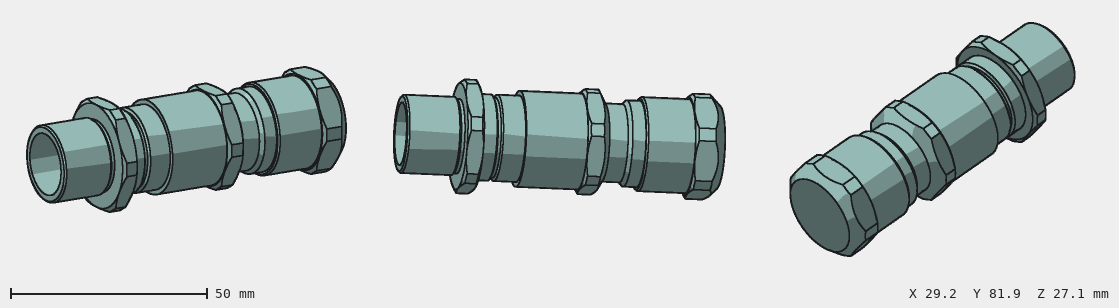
import cadquery as cq
import math

LENGTH = 81.9

THREAD_D = 20.0
THREAD_TIP_D = 19.1
UNDERCUT_D = 19.0
BODY_D = 22.0
GROOVE_D = 20.4
SLEEVE_D = 24.5
CAP_SKIRT_D = 24.0
CAP_SKIRT_TIP_D = 23.2
BORE_D = 16.0

THREAD_END = 13.4
LOCKNUT_START = 14.8
LOCKNUT_END = 19.1
GROOVE_START = 23.3
GROOVE_END = 24.1
SLEEVE_START = 30.2
MID_HEX_START = 46.1
MID_HEX_END = 52.2
NECK_END = 56.9
SKIRT_START = 61.35
CAP_HEX_START = 73.95

EDGE_CHAMFER = 0.5
GROOVE_TAPER = 0.4
NECK_TAPER = (BODY_D - THREAD_D) / 2

LOCKNUT_FLATS = 27.1
LOCKNUT_CORNERS = 29.2
NUT_FLATS = 25.1
NUT_CORNERS = 27.0
NUT_BASE_D = 24.9
CAP_FACE_D = 21.3

SHALLOW_ANGLE = 30
CAP_ANGLE = 45


def revolve_profile(points):
    """Turn a closed (radius, axial) outline about the Y axis."""
    return cq.Workplane("XY").polyline(points).close().revolve(360, (0, 0, 0), (0, 1, 0))


def hex_prism(flats, start, end, angle):
    """Hexagonal prism along Y, with a corner on the X axis at zero angle."""
    corner_diameter = flats / math.cos(math.pi / 6)
    return (
        cq.Workplane("XZ", origin=(0, start, 0))
        .transformed(rotate=(0, 0, angle))
        .polygon(6, corner_diameter)
        .extrude(start - end)
    )


def hex_nut(flats, corners, start, end, start_face_d, end_face_d, end_angle):
    """Hexagon with flat-blunted corners and a conical chamfer at both ends."""
    prism = hex_prism(flats, start, end, 0).intersect(hex_prism(corners, start, end, 30))
    rim = flats / math.sqrt(3)
    start_rise = (rim - start_face_d / 2) * math.tan(math.radians(SHALLOW_ANGLE))
    end_rise = (rim - end_face_d / 2) * math.tan(math.radians(end_angle))
    chamfer_envelope = revolve_profile([
        (0, start),
        (start_face_d / 2, start),
        (rim, start + start_rise),
        (rim, end - end_rise),
        (end_face_d / 2, end),
        (0, end),
    ])
    return prism.intersect(chamfer_envelope)


turned_body = revolve_profile([
    (0, 0),
    (THREAD_TIP_D / 2, 0),
    (THREAD_D / 2, EDGE_CHAMFER),
    (THREAD_D / 2, THREAD_END),
    (UNDERCUT_D / 2, THREAD_END + EDGE_CHAMFER),
    (UNDERCUT_D / 2, LOCKNUT_END),
    (BODY_D / 2, LOCKNUT_END),
    (BODY_D / 2, GROOVE_START - GROOVE_TAPER),
    (GROOVE_D / 2, GROOVE_START),
    (GROOVE_D / 2, GROOVE_END),
    (BODY_D / 2, GROOVE_END + GROOVE_TAPER),
    (BODY_D / 2, SLEEVE_START),
    (SLEEVE_D / 2, SLEEVE_START),
    (SLEEVE_D / 2, MID_HEX_START),
    (THREAD_D / 2, MID_HEX_START),
    (THREAD_D / 2, NECK_END),
    (BODY_D / 2, NECK_END + NECK_TAPER),
    (BODY_D / 2, SKIRT_START),
    (CAP_SKIRT_TIP_D / 2, SKIRT_START),
    (CAP_SKIRT_D / 2, SKIRT_START + EDGE_CHAMFER),
    (CAP_SKIRT_D / 2, CAP_HEX_START),
    (0, CAP_HEX_START),
])

locknut = hex_nut(
    LOCKNUT_FLATS, LOCKNUT_CORNERS, LOCKNUT_START, LOCKNUT_END,
    LOCKNUT_FLATS, LOCKNUT_FLATS, SHALLOW_ANGLE,
)
mid_nut = hex_nut(
    NUT_FLATS, NUT_CORNERS, MID_HEX_START, MID_HEX_END,
    NUT_BASE_D, THREAD_D, SHALLOW_ANGLE,
)
cap_nut = hex_nut(
    NUT_FLATS, NUT_CORNERS, CAP_HEX_START, LENGTH,
    NUT_BASE_D, CAP_FACE_D, CAP_ANGLE,
)

bore = cq.Workplane("XZ").circle(BORE_D / 2).extrude(-SLEEVE_START)

result = turned_body.union(locknut).union(mid_nut).union(cap_nut).cut(bore)